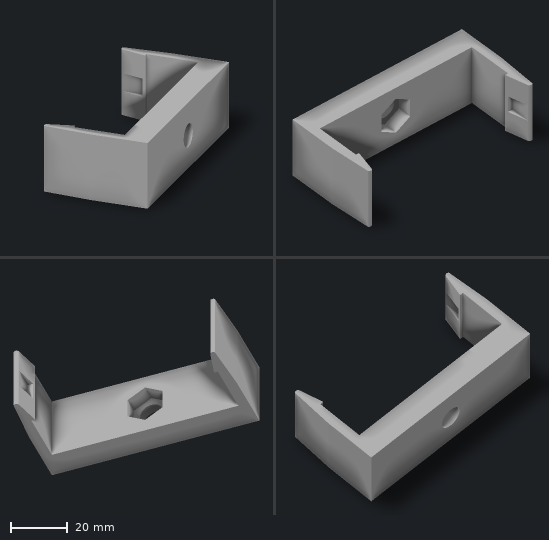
import cadquery as cq
import math

depth = 39.75
width = 78.4
height = 25.0

plate_thickness = 10.0
arm_thickness = 4.0
plate_inner_x = depth - plate_thickness

taper_length = 18.35
nose_outer_x = 0.4
nose_outer_inset = 1.2
nose_tip_inset = 2.1
nose_inner_x = 0.7
nose_inner_inset = 3.05
barb_x = 10.3
barb_inset = 5.4

pocket_end_x = 9.0
pocket_height = 6.9

hole_diameter = 8.8
nut_across_flats = 13.2
nut_depth = 6.0

half_width = width / 2


def make_plate():
    return (
        cq.Workplane("XY")
        .box(plate_thickness, width, height, centered=(False, True, True))
        .translate((plate_inner_x, 0, 0))
    )


def make_arm():
    """Arm on the +Y side, with its barb pointing inwards."""
    inner_y = half_width - arm_thickness
    arm = (
        cq.Workplane("XY")
        .workplane(offset=-height / 2)
        .moveTo(depth, half_width)
        .lineTo(taper_length, half_width)
        .lineTo(nose_outer_x, half_width - nose_outer_inset)
        .threePointArc(
            (0, half_width - nose_tip_inset),
            (nose_inner_x, half_width - nose_inner_inset),
        )
        .lineTo(barb_x, half_width - barb_inset)
        .lineTo(barb_x, inner_y)
        .lineTo(depth, inner_y)
        .close()
        .extrude(height)
    )
    pocket_floor_y = half_width - nose_inner_inset
    pocket_depth = barb_inset - nose_inner_inset
    pocket = (
        cq.Workplane("XY")
        .box(pocket_end_x - nose_inner_x, pocket_depth, pocket_height, centered=(False, False, True))
        .translate((nose_inner_x, pocket_floor_y - pocket_depth, 0))
    )
    return arm.cut(pocket)


def make_screw_cutter():
    """Through hole along X and the nut recess, with two hexagon corners along Z."""
    inner_face = cq.Workplane("YZ", origin=(plate_inner_x, 0, 0))
    hole = inner_face.circle(hole_diameter / 2).extrude(plate_thickness)
    across_corners = nut_across_flats / math.cos(math.pi / 6)
    nut = (
        inner_face
        .transformed(rotate=(0, 0, 90))
        .polygon(6, across_corners)
        .extrude(nut_depth)
    )
    return hole.union(nut)


arm = make_arm()
result = make_plate().union(arm).union(arm.mirror("XZ")).cut(make_screw_cutter())